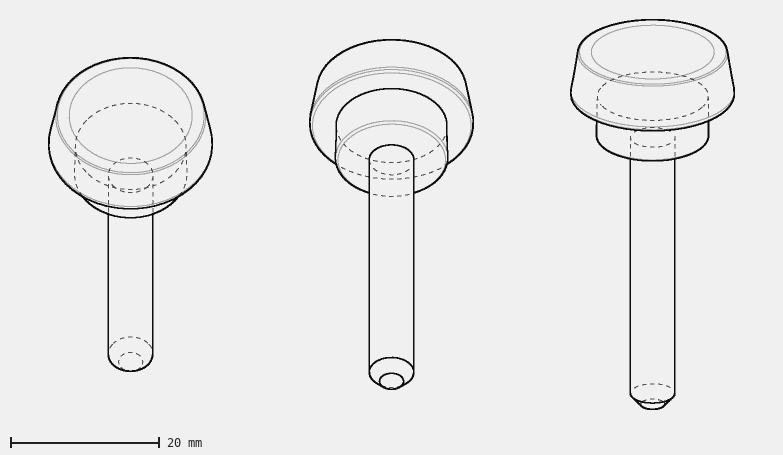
import cadquery as cq

total_height = 54.0
shaft_length = 39.85
collar_height = 6.15
dome_height = 1.4

shaft_radius = 6.0 / 2
tip_radius = 1.6
tip_height = 1.6

collar_base_radius = 7.55
collar_top_radius = 7.45
collar_edge_fillet = 0.3

cap_radius = 22.0 / 2
cap_top_radius = 10.05
cap_band_height = 0.75
cap_lower_fillet = 0.3
cap_top_fillet = 0.2
dome_radius = 8.25

collar_top = shaft_length + collar_height
cap_top = total_height - dome_height


def make_shaft():
    """Pin with a conical tip."""
    return (
        cq.Workplane("XZ")
        .lineTo(tip_radius, 0)
        .lineTo(shaft_radius, tip_height)
        .lineTo(shaft_radius, shaft_length)
        .lineTo(0, shaft_length)
        .close()
        .revolve(360, (0, 0, 0), (0, 1, 0))
    )


def make_collar():
    """Slightly tapered collar with a rounded lower edge."""
    collar = (
        cq.Workplane("XZ", origin=(0, 0, shaft_length))
        .lineTo(collar_base_radius, 0)
        .lineTo(collar_top_radius, collar_height)
        .lineTo(0, collar_height)
        .close()
        .revolve(360, (0, 0, 0), (0, 1, 0))
    )
    return collar.faces("<Z").edges().fillet(collar_edge_fillet)


def make_cap():
    """Tapered cap above a short cylindrical band, with rounded rims."""
    cap = (
        cq.Workplane("XZ")
        .moveTo(0, collar_top)
        .lineTo(cap_radius, collar_top)
        .lineTo(cap_radius, collar_top + cap_band_height)
        .lineTo(cap_top_radius, cap_top)
        .lineTo(0, cap_top)
        .close()
        .revolve(360, (0, 0, 0), (0, 1, 0))
    )
    cap = cap.faces("<Z").edges().fillet(cap_lower_fillet)
    return cap.faces(">Z").edges().fillet(cap_top_fillet)


def make_dome():
    """Shallow spherical dome on the flat top of the cap."""
    sphere_radius = (dome_radius**2 + dome_height**2) / (2 * dome_height)
    sphere = cq.Workplane("XY").sphere(sphere_radius).translate((0, 0, total_height - sphere_radius))
    disc = cq.Workplane("XY", origin=(0, 0, cap_top)).circle(cap_radius).extrude(dome_height)
    return sphere.intersect(disc)


result = make_shaft().union(make_collar()).union(make_cap()).union(make_dome())